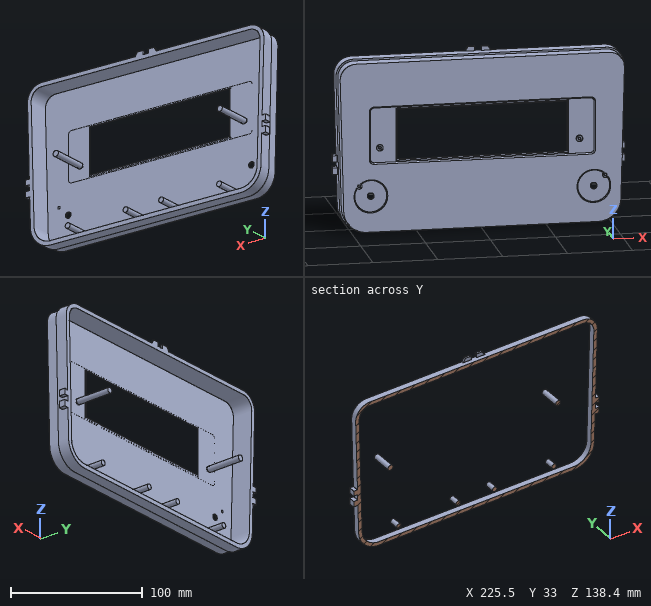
import cadquery as cq

case_depth = 20.0
front_layer_depth = case_depth / 2
pin_end = 33.0
peg_end = 23.0

total_width = 225.5
case_top = 65.8
case_bottom = -69.2
top_half_width = 111.4
bottom_half_width = 107.8
top_corner_radius = 13.5
bottom_corner_radius = 19.0
layer_step = 1.4
wall = 2.3

bevel_angle = 45

recess_width = 174.3
recess_top = 30.2
recess_bottom = -14.7
recess_corner_radius = 3.8
recess_depth = 1.0
window_width = 133.0
window_top = 28.2
window_bottom = -12.6
window_plate = 1.0
front_plate = recess_depth + window_plate

knob_x = 86.0
knob_z = -39.7
knob_diameter = 26.0
knob_depth = 0.7
knob_hole_diameter = 5.0

stud_diameter = 4.5
stud_dx = 9.0
stud_dz = 8.3

pilot_diameter = 2.0
pilot_depth = 1.4

pin_diameter = 5.0
pin_xs = (-79.0, 74.9)
pin_z = -2.0
peg_diameter = 4.5
peg_xs = (-71.0, -16.7, 16.7, 71.0)
peg_z = -58.6

side_tab_depth = 5.5
side_tab_spans = ((-15.3, -10.4), (-25.3, -19.8))
top_tab_depth = 2.0
top_tab_height = 3.4
top_tab_inner_x = 2.5
top_tab_outer_x = 10.0
top_tab_bevel = 2.0


def xz_plane(y):
    """Plane at depth y whose extrusions run toward +Y; its local y is -Z."""
    return cq.Workplane(cq.Plane(origin=(0, y, 0), xDir=(1, 0, 0), normal=(0, 1, 0)))


def case_block(y_start, y_end, inset):
    """Tapered case outline, moved inward by inset and extruded between two depths."""
    corners = [
        (-top_half_width, -case_top),
        (top_half_width, -case_top),
        (bottom_half_width, -case_bottom),
        (-bottom_half_width, -case_bottom),
    ]
    block = xz_plane(y_start).polyline(corners).close().extrude(y_end - y_start)
    block = block.edges("|Y and >Z").fillet(top_corner_radius)
    block = block.edges("|Y and <Z").fillet(bottom_corner_radius)
    if inset:
        outline = block.faces("<Y").wires().val().offset2D(-inset)[0]
        block = cq.Workplane(cq.Solid.extrudeLinear(outline, [], cq.Vector(0, y_end - y_start, 0)))
    return block


def bevelled_opening(y, width, top, bottom, depth, corner_radius=0):
    """Rectangular cutter whose four walls slope inward with depth."""
    outline = cq.Sketch().rect(width, top - bottom)
    if corner_radius:
        outline = outline.vertices().fillet(corner_radius)
    centre_z = (top + bottom) / 2
    return xz_plane(y).center(0, -centre_z).placeSketch(outline).extrude(depth, taper=bevel_angle)


def cylinder(x, z, diameter, y_start, y_end):
    return xz_plane(y_start).center(x, -z).circle(diameter / 2).extrude(y_end - y_start)


def add_drilled_rod(body, x, z, diameter, y_end):
    """Add a rod starting flush with the front face, with a blind hole in its front end."""
    body = body.union(cylinder(x, z, diameter, 0, y_end))
    return body.cut(cylinder(x, z, pilot_diameter, 0, pilot_depth))


def box(x_min, x_max, y_min, y_max, z_min, z_max):
    size = (x_max - x_min, y_max - y_min, z_max - z_min)
    return cq.Workplane().box(*size, centered=False).translate((x_min, y_min, z_min))


def top_tab(side):
    """Tab on the top rim with its outer end sloped up from the case top."""
    tip = case_top + top_tab_height
    points = [
        (side * top_tab_inner_x, -(case_top - wall)),
        (side * top_tab_inner_x, -tip),
        (side * (top_tab_outer_x - top_tab_bevel), -tip),
        (side * top_tab_outer_x, -case_top),
        (side * top_tab_outer_x, -(case_top - wall)),
    ]
    return xz_plane(case_depth - top_tab_depth).polyline(points).close().extrude(top_tab_depth)


shell = case_block(0, front_layer_depth, layer_step)
shell = shell.union(case_block(front_layer_depth, case_depth, 0))
shell = shell.cut(case_block(front_plate, case_depth, layer_step + wall))

shell = shell.cut(
    bevelled_opening(0, recess_width, recess_top, recess_bottom, recess_depth, recess_corner_radius)
)
shell = shell.cut(bevelled_opening(recess_depth, window_width, window_top, window_bottom, window_plate))

for side in (-1, 1):
    x = side * knob_x
    recess = xz_plane(0).center(x, -knob_z).circle(knob_diameter / 2).extrude(knob_depth, taper=bevel_angle)
    shell = shell.cut(recess)
    shell = shell.cut(cylinder(x, knob_z, knob_hole_diameter, 0, front_plate))
    shell = add_drilled_rod(shell, x + side * stud_dx, knob_z + stud_dz, stud_diameter, front_plate)

for x in pin_xs:
    shell = add_drilled_rod(shell, x, pin_z, pin_diameter, pin_end)
for x in peg_xs:
    shell = shell.union(cylinder(x, peg_z, peg_diameter, recess_depth, peg_end))

for side in (-1, 1):
    shell = shell.union(top_tab(side))
    for z_min, z_max in side_tab_spans:
        x_min, x_max = sorted((side * (bottom_half_width - wall / 2), side * total_width / 2))
        shell = shell.union(box(x_min, x_max, case_depth - side_tab_depth, case_depth, z_min, z_max))

result = shell